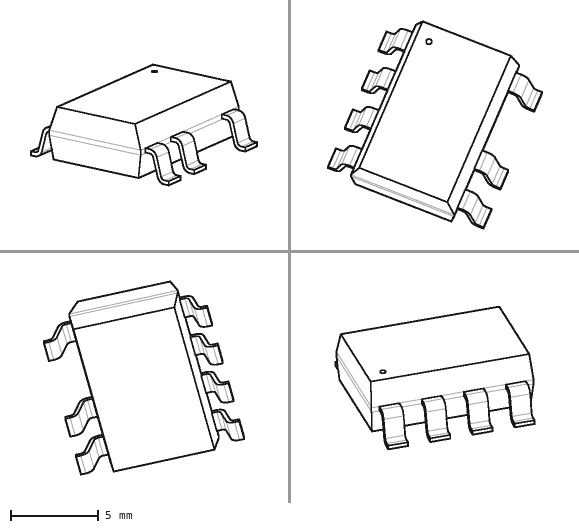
import cadquery as cq
import math


band_width = 6.4
band_length = 9.78
top_width = 5.46
bottom_width = 5.95
end_inset = 0.11
housing_bottom = 0.2
band_bottom = 1.66
band_top = 1.97
housing_top = 3.41
face_length = band_length - 2 * end_inset

marker_diameter = 0.32
marker_depth = 0.1
marker_x = -1.93
marker_y = 3.78

lead_span = 9.63
lead_pitch = 2.54
lead_width = 1.2
lead_thickness = 0.25
foot_length = 0.28
bend_inner_radius = 0.25
bend_outer_radius = bend_inner_radius + lead_thickness
leg_lean = 15.0
shoulder_top = 1.94
rows_per_side = 4
left_rows = [0, 1, 2, 3]
right_rows = [0, 2, 3]


def frustum(width, length, z, far_width, far_length, far_z):
    """Tapered block between two centred rectangles at different heights."""
    return (
        cq.Workplane("XY")
        .workplane(offset=z)
        .rect(width, length)
        .workplane(offset=far_z - z)
        .rect(far_width, far_length)
        .loft(ruled=True)
    )


def make_marker():
    return (
        cq.Workplane("XY")
        .workplane(offset=housing_top - marker_depth)
        .center(marker_x, marker_y)
        .circle(marker_diameter / 2)
        .extrude(marker_depth)
    )


def make_housing(marker):
    lower = frustum(bottom_width, face_length, housing_bottom, band_width, band_length, band_bottom)
    band = frustum(band_width, band_length, band_bottom, band_width, band_length, band_top)
    upper = frustum(band_width, band_length, band_top, top_width, face_length, housing_top)
    return lower.union(band).union(upper).cut(marker)


def polar(center, radius, degrees):
    """Point at an angle on a circle in the lead's profile plane."""
    angle = math.radians(degrees)
    return (center[0] + radius * math.cos(angle), center[1] + radius * math.sin(angle))


def make_left_lead(row):
    """Gull-wing lead from the -X face of the band down to the seating plane."""
    lean = math.radians(leg_lean)
    toe_x = -lead_span / 2
    root_x = -band_width / 2
    shoulder_bottom = shoulder_top - lead_thickness

    bend_radii = bend_inner_radius + bend_outer_radius
    rise = shoulder_bottom
    leg_length = (rise - bend_radii * (1 - math.sin(lean))) / math.cos(lean)
    run = bend_radii * math.cos(lean) + leg_length * math.sin(lean)

    foot_end_x = toe_x + foot_length
    shoulder_start_x = foot_end_x + run
    low_center = (foot_end_x, bend_outer_radius)
    high_center = (shoulder_start_x, shoulder_top - bend_outer_radius)

    low_start, low_end = -90, -leg_lean
    low_middle = (low_start + low_end) / 2
    high_start, high_end = 90, 180 - leg_lean
    high_middle = (high_start + high_end) / 2

    profile = (
        cq.Workplane("XZ")
        .moveTo(toe_x, 0)
        .lineTo(foot_end_x, 0)
        .threePointArc(
            polar(low_center, bend_outer_radius, low_middle),
            polar(low_center, bend_outer_radius, low_end),
        )
        .lineTo(*polar(high_center, bend_inner_radius, high_end))
        .threePointArc(
            polar(high_center, bend_inner_radius, high_middle),
            (shoulder_start_x, shoulder_bottom),
        )
        .lineTo(root_x, shoulder_bottom)
        .lineTo(root_x, shoulder_top)
        .lineTo(shoulder_start_x, shoulder_top)
        .threePointArc(
            polar(high_center, bend_outer_radius, high_middle),
            polar(high_center, bend_outer_radius, high_end),
        )
        .lineTo(*polar(low_center, bend_inner_radius, low_end))
        .threePointArc(
            polar(low_center, bend_inner_radius, low_middle),
            (foot_end_x, lead_thickness),
        )
        .lineTo(toe_x, lead_thickness)
        .close()
    )
    row_y = ((rows_per_side - 1) / 2 - row) * lead_pitch
    return profile.extrude(lead_width / 2, both=True).translate((0, row_y, 0))


def make_right_lead(row):
    """Mirror image of the left lead on the +X side."""
    return make_left_lead(row).mirror("YZ")


marker = make_marker()
housing = make_housing(marker)
left_leads = [make_left_lead(row).val() for row in left_rows]
right_leads = [make_right_lead(row).val() for row in right_rows]

result = cq.Compound.makeCompound([housing.val(), marker.val(), *left_leads, *right_leads])